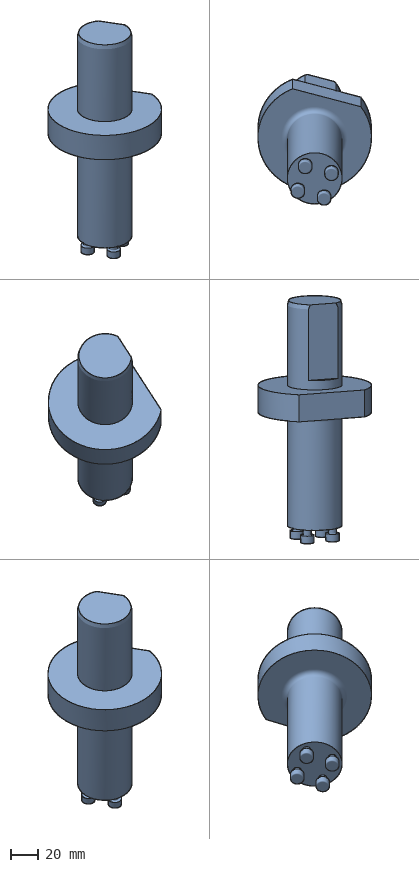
import cadquery as cq
import math

total_height = 177.5
shaft_bottom = 10.5
flange_bottom = 94.6
flange_thickness = 20.0
flange_top = flange_bottom + flange_thickness

shaft_diameter = 40.0
shaft_radius = shaft_diameter / 2
top_chamfer_height = 3.4
top_chamfer_width = 0.9
shaft_flat_distance = 16.2
round_collar_height = 7.0
shaft_flat_start = flange_top + round_collar_height

flange_diameter = 82.9
flange_radius = flange_diameter / 2
flange_depth = 73.9
flange_flat_distance = flange_depth - flange_radius
flange_fillet = 3.9

screw_spacing = 19.9
screw_shank_diameter = 6.0
screw_head_diameter = 10.0
screw_head_height = 5.9
screw_rim_fillet = 0.9
screw_neck_fillet = 0.4


def cylinder(diameter, bottom, top):
    """Upright cylinder on the Z axis between two heights."""
    return cq.Workplane("XY").workplane(offset=bottom).circle(diameter / 2).extrude(top - bottom)


def cut_flat(body, distance, bottom, top):
    """Remove everything beyond Y = distance between two heights."""
    cutter = (
        cq.Workplane("XY")
        .box(flange_diameter, flange_radius, top - bottom, centered=(True, False, False))
        .translate((0, distance, bottom))
    )
    return body.cut(cutter)


def make_shaft():
    """Round shaft with a tapered top end and a flat on its +Y side."""
    half_profile = (
        cq.Workplane("XZ")
        .moveTo(0, shaft_bottom)
        .lineTo(shaft_radius, shaft_bottom)
        .lineTo(shaft_radius, total_height - top_chamfer_height)
        .lineTo(shaft_radius - top_chamfer_width, total_height)
        .lineTo(0, total_height)
        .close()
    )
    shaft = half_profile.revolve(360, (0, 0, 0), (0, 1, 0))
    return cut_flat(shaft, shaft_flat_distance, shaft_flat_start, total_height)


def make_flange():
    """Disc with a flat on its +Y side."""
    disc = cylinder(flange_diameter, flange_bottom, flange_top)
    return cut_flat(disc, flange_flat_distance, flange_bottom, flange_top)


def blend_ring(radius, fillet, face_height, direction):
    """Concave-rimmed disc joining a cylinder to a flat face, above it (direction +1) or below (-1)."""
    outer_radius = radius + fillet
    start_height = face_height + direction * fillet
    arc_offset = fillet * math.sqrt(0.5)
    arc_middle = (outer_radius - arc_offset, start_height - direction * arc_offset)
    return (
        cq.Workplane("XZ")
        .moveTo(0, start_height)
        .lineTo(radius, start_height)
        .threePointArc(arc_middle, (outer_radius, face_height))
        .lineTo(0, face_height)
        .close()
        .revolve(360, (0, 0, 0), (0, 1, 0))
    )


def make_screw():
    """Screw hanging head down, with a rounded head rim and a small neck fillet."""
    neck_radius = screw_shank_diameter / 2
    head = cylinder(screw_head_diameter, 0, screw_head_height).faces("<Z").edges().fillet(screw_rim_fillet)
    shank = cylinder(screw_shank_diameter, screw_head_height, shaft_bottom)
    blend = blend_ring(neck_radius, screw_neck_fillet, screw_head_height, 1)
    return head.union(shank).union(blend)


result = make_shaft().union(make_flange())
result = result.union(blend_ring(shaft_radius, flange_fillet, flange_bottom, -1))

screw = make_screw()
for x_side in (-1, 1):
    for y_side in (-1, 1):
        screw_place = (x_side * screw_spacing / 2, y_side * screw_spacing / 2, 0)
        result = result.union(screw.translate(screw_place))